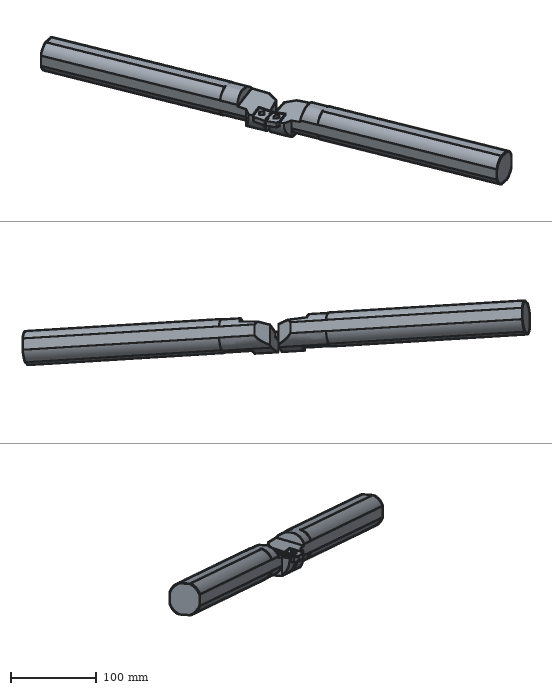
import cadquery as cq

LENGTH = 603.0
DEPTH = 47.0
HEIGHT = 38.0
HALF_LENGTH = LENGTH / 2
HALF_HEIGHT = HEIGHT / 2
HALF_WIDTH = HALF_HEIGHT
GRIP_RADIUS = 40.5 / 2
NECK_RADIUS_Y = GRIP_RADIUS
NECK_RADIUS_Z = 39.0 / 2
END_CHAMFER = 0.5
NECK_START = -64.5
BIG = 120.5

SEAT_HEIGHT = 5.0
SEAT_SLOPE_X = 0.1
SEAT_SLOPE_Y = 0.22
SEAT_WALL = -41.0
WALL_LEAN = 0.25

END_GAP_FRONT = 2.0
END_GAP_BACK = 6.0
BACK_BEVEL_START = -22.0
BACK_BEVEL_DEPTH = 11.5

LUG_FRONT = -25.5
LUG_ROOT = -30.0
LUG_SHOULDER = -23.5
LUG_CURVE_TOP = -3.0
LUG_CURVE_MIDDLE = (-23.0, -12.5)
LUG_FOOT = -18.0
LUG_CORNER = 3.0

LEAF_LENGTH = 17.5
LEAF_BACK = -10.0
LEAF_FRONT = HALF_WIDTH - DEPTH
LEAF_RISE = 1.0
LEAF_THICKNESS = 6.0
LEAF_CORNER = 2.5
KNUCKLE_GAP = 0.5
TAB_WIDTH = 5.5
HOLE_DIAMETER = 6.5
HOLE_X = -9.5
HOLE_Y = -18.0

SEAT = cq.Plane(
    origin=(0, 0, SEAT_HEIGHT),
    xDir=(1, 0, -SEAT_SLOPE_X),
    normal=(SEAT_SLOPE_X, -SEAT_SLOPE_Y, 1),
)


def flatted_bar(radius_y, radius_z, start, end):
    """Bar along X with a round or oval section and four flats."""
    section = cq.Workplane("YZ", origin=(start, 0, 0))
    if radius_y == radius_z:
        bar = section.circle(radius_y).extrude(end - start)
    else:
        bar = section.ellipse(radius_y, radius_z).extrude(end - start)
    flats = section.rect(2 * HALF_WIDTH, 2 * HALF_HEIGHT).extrude(end - start)
    return bar.intersect(flats)


def make_lug():
    """Trapezoidal lug whose front curves under towards the bottom."""
    plan = (
        cq.Workplane("XY", origin=(0, 0, -HALF_HEIGHT))
        .moveTo(LUG_ROOT, -HALF_WIDTH)
        .lineTo(LUG_SHOULDER, LUG_FRONT)
        .lineTo(-END_GAP_FRONT - LUG_CORNER, LUG_FRONT)
        .lineTo(-END_GAP_FRONT, LUG_FRONT + LUG_CORNER)
        .lineTo(-END_GAP_FRONT, 0)
        .lineTo(LUG_ROOT, 0)
        .close()
        .extrude(2 * HALF_HEIGHT)
    )
    section = (
        cq.Workplane("YZ", origin=(LUG_ROOT, 0, 0))
        .moveTo(0, -HALF_HEIGHT)
        .lineTo(LUG_FOOT, -HALF_HEIGHT)
        .threePointArc(LUG_CURVE_MIDDLE, (LUG_FRONT, LUG_CURVE_TOP))
        .lineTo(LUG_FRONT, HALF_HEIGHT)
        .lineTo(0, HALF_HEIGHT)
        .close()
        .extrude(-LUG_ROOT)
    )
    return plan.intersect(section)


def seat_cutter():
    """Prism above the sloping seat, from the leaning wall to past the middle."""
    profile_plane = cq.Plane(origin=SEAT.origin, xDir=SEAT.xDir, normal=-SEAT.yDir)
    return (
        cq.Workplane(profile_plane)
        .moveTo(SEAT_WALL, 0)
        .lineTo(SEAT_WALL - WALL_LEAN * BIG, BIG)
        .lineTo(BIG, BIG)
        .lineTo(BIG, 0)
        .close()
        .extrude(BIG / 2, both=True)
    )


def end_cutter():
    """Prism that angles the end face, so that the gap opens towards the back."""
    return (
        cq.Workplane("XY", origin=(0, 0, -BIG / 2))
        .moveTo(-END_GAP_FRONT, LUG_FRONT)
        .lineTo(-END_GAP_BACK, HALF_WIDTH)
        .lineTo(0, HALF_WIDTH)
        .lineTo(0, LUG_FRONT)
        .close()
        .extrude(BIG)
    )


def back_bevel():
    """Prism that removes the back corner of the inner end."""
    back = HALF_WIDTH
    return (
        cq.Workplane("XY", origin=(0, 0, -BIG / 2))
        .moveTo(BACK_BEVEL_START, back)
        .lineTo(0, back - BACK_BEVEL_DEPTH)
        .lineTo(0, back)
        .close()
        .extrude(BIG)
    )


def leaf_block():
    """Leaf parallel to the seat, without its hole; also used to cut its recess."""
    outline = (
        cq.Workplane("XY", origin=(0, 0, -BIG / 2))
        .moveTo(-LEAF_LENGTH, LEAF_BACK)
        .lineTo(-KNUCKLE_GAP, LEAF_BACK)
        .lineTo(-KNUCKLE_GAP, HOLE_Y + TAB_WIDTH / 2)
        .lineTo(0, HOLE_Y + TAB_WIDTH / 2)
        .lineTo(0, HOLE_Y - TAB_WIDTH / 2)
        .lineTo(-KNUCKLE_GAP, HOLE_Y - TAB_WIDTH / 2)
        .lineTo(-KNUCKLE_GAP, LEAF_FRONT)
        .lineTo(-LEAF_LENGTH + LEAF_CORNER, LEAF_FRONT)
        .lineTo(-LEAF_LENGTH, LEAF_FRONT + LEAF_CORNER)
        .close()
        .extrude(BIG)
    )
    slab = (
        cq.Workplane(SEAT)
        .workplane(offset=LEAF_RISE - LEAF_THICKNESS)
        .rect(BIG, BIG)
        .extrude(LEAF_THICKNESS)
    )
    return outline.intersect(slab)


def make_leaf():
    """Hinge leaf with its screw hole."""
    hole_start = cq.Workplane("XY", origin=(HOLE_X, HOLE_Y, -BIG / 2))
    hole = hole_start.circle(HOLE_DIAMETER / 2).extrude(BIG)
    return leaf_block().cut(hole)


def make_handle():
    """Left handle: grip, neck and lug, with the seat and the hinge recess cut in."""
    grip = flatted_bar(GRIP_RADIUS, GRIP_RADIUS, -HALF_LENGTH, NECK_START)
    grip = grip.faces("<X").chamfer(END_CHAMFER)
    neck = flatted_bar(NECK_RADIUS_Y, NECK_RADIUS_Z, NECK_START, -END_GAP_FRONT)
    handle = grip.union(neck).union(make_lug())
    for cutter in (seat_cutter(), end_cutter(), back_bevel(), leaf_block()):
        handle = handle.cut(cutter)
    return handle


left_handle = make_handle()
left_leaf = make_leaf()
bodies = []
for body in (left_handle, left_leaf):
    bodies.append(body.val())
    bodies.append(body.mirror("YZ").val())

result = cq.Compound.makeCompound(bodies)